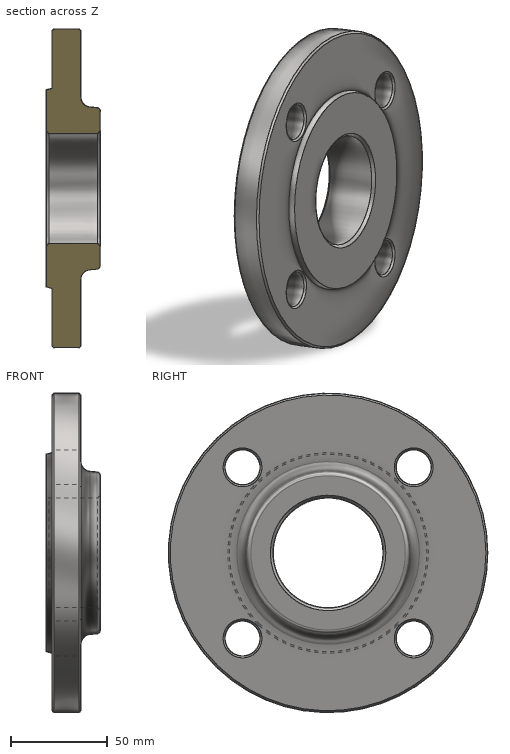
import cadquery as cq
import math

flange_diameter = 165.0
flange_edge_chamfer = 1.0
flange_thickness = 15.0

face_diameter = 102.0
face_height = 3.0
face_taper_angle = 15.0
face_base_diameter = face_diameter + 2 * face_height * math.tan(math.radians(face_taper_angle))

total_length = 28.0
hub_root_diameter = 85.2
hub_taper_angle = 5.3
hub_root_radius = 5.0
hub_end_radius = 2.0

bore_diameter = 56.66
bore_mouth_diameter = 59.6
bore_chamfer = (bore_mouth_diameter - bore_diameter) / 2

bolt_circle_diameter = 125.0
bolt_hole_diameter = 18.0
bolt_hole_count = 4
bolt_hole_chamfer = 1.0
first_bolt_angle = 45.0

flange_front = face_height
flange_back = flange_front + flange_thickness
hub_height = total_length - flange_back
hub_end_diameter = hub_root_diameter - 2 * hub_height * math.tan(math.radians(hub_taper_angle))

selection_margin = 0.1


def disc(start, length, diameter):
    """Solid cylinder about the X axis beginning at X = start."""
    return cq.Workplane("YZ", origin=(start, 0, 0)).circle(diameter / 2).extrude(length)


def cone(start, start_diameter, end, end_diameter):
    """Solid truncated cone about the X axis between X = start and X = end."""
    return (
        cq.Workplane("XY")
        .moveTo(start, 0)
        .lineTo(start, start_diameter / 2)
        .lineTo(end, end_diameter / 2)
        .lineTo(end, 0)
        .close()
        .revolve(360, (0, 0, 0), (1, 0, 0))
    )


def make_plate():
    plate = disc(flange_front, flange_thickness, flange_diameter)
    return plate.edges().chamfer(flange_edge_chamfer)


def make_raised_face():
    """Sealing face widening slightly towards the plate."""
    return cone(0, face_diameter, face_height, face_base_diameter)


def make_hub():
    """Hub narrowing slightly towards its rounded free end."""
    hub = cone(flange_back, hub_root_diameter, total_length, hub_end_diameter)
    return hub.faces(">X").edges().fillet(hub_end_radius)


def round_hub_root(body):
    """Fillet the circle where the hub meets the plate."""
    reach = (hub_root_diameter + hub_root_radius) / 2
    root_edge = cq.selectors.BoxSelector(
        (flange_back - selection_margin, -reach, -reach),
        (flange_back + selection_margin, reach, reach),
        boundingbox=True,
    )
    return body.edges(root_edge).fillet(hub_root_radius)


def make_bore():
    """Through bore with a chamfered mouth at both ends."""
    front_mouth = cone(0, bore_mouth_diameter, bore_chamfer, bore_diameter)
    back_mouth = cone(total_length - bore_chamfer, bore_diameter, total_length, bore_mouth_diameter)
    return disc(0, total_length, bore_diameter).union(front_mouth).union(back_mouth)


def make_bolt_hole():
    """Through hole on the X axis, chamfered at both plate faces."""
    hole_radius = bolt_hole_diameter / 2
    mouth_radius = hole_radius + bolt_hole_chamfer
    return (
        cq.Workplane("XY")
        .moveTo(flange_front, 0)
        .lineTo(flange_front, mouth_radius)
        .lineTo(flange_front + bolt_hole_chamfer, hole_radius)
        .lineTo(flange_back - bolt_hole_chamfer, hole_radius)
        .lineTo(flange_back, mouth_radius)
        .lineTo(flange_back, 0)
        .close()
        .revolve(360, (0, 0, 0), (1, 0, 0))
    )


flange = make_plate().union(make_raised_face()).union(make_hub())
flange = round_hub_root(flange)
flange = flange.cut(make_bore())

bolt_hole = make_bolt_hole().translate((0, bolt_circle_diameter / 2, 0))
for hole_index in range(bolt_hole_count):
    hole_angle = first_bolt_angle + hole_index * 360 / bolt_hole_count
    flange = flange.cut(bolt_hole.rotate((0, 0, 0), (1, 0, 0), hole_angle))

result = flange